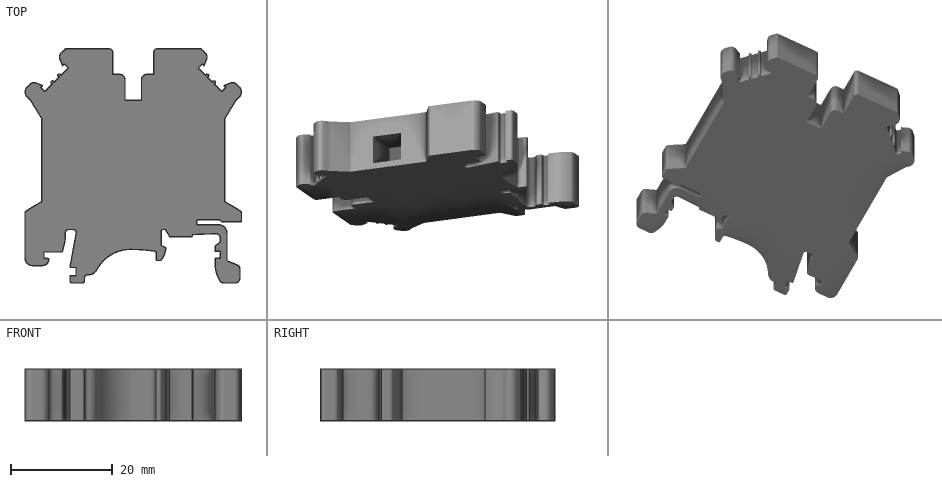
import math

import cadquery as cq

THICKNESS = 10.2
HALF_WIDTH = 21.25
HEIGHT = 46.0
WALL_X = 18.0
WALL_BOTTOM_Y = 16.0
WALL_TOP_Y = 32.3
SHOULDER_Y = 14.05
FLARE_RADIUS = 0.6

SLOT_HALF_WIDTH = 1.6
SLOT_BOTTOM_Y = 35.9
MOUTH_HALF_WIDTH = 4.0
MOUTH_BOTTOM_Y = 41.0
MOUTH_RADIUS = 0.7
LEDGE_RADIUS = 1.1

RAMP_MID_X = 15.07
RAMP_MID_Y = 39.94
RAMP_HALF_LENGTH = 3.25
LIP_DEPTH = 1.06
LIP_OVERHANG = 0.5
KNOB_ALONG = 3.56
KNOB_OUT = 3.03
KNOB_RADIUS = 1.1
ELBOW_ROOT = (20.2, 35.9)
BUMP_RADIUS = 0.3
BUMP_SPACING = 1.9
BUMP_OUT = 0.2

EDGE_RADIUS = 0.25
TIP_RADIUS = 0.1
POCKET_TOP_Y = 10.5
HOOK_LEDGE_Y = 4.9

FOOT_BOTTOM_Y = 3.4
FOOT_OUTER_RADIUS = 1.5
FOOT_INNER_RADIUS = 1.4
HOOK_TIP_X = -16.5
HOOK_ROOT_X = -17.5
HOOK_ROOF_Y = 6.1
HOOK_TIP_SLOPE = 0.15
HOOK_TIP_LENGTH = 0.5
HOOK_UNDERCUT = 0.2
RELIEF_LEFT_X = -13.3
RELIEF_RIGHT_X = -11.1
RELIEF_BEND_Y = 8.4
RELIEF_BEND_RADIUS = 7.5
RELIEF_RADIUS = 0.6
RELIEF_FLARE = 0.6

LEG_LEFT_X = -12.45
LEG_RIGHT_X = -9.55
LEG_NOTCH_X = -11.25
LEG_NOTCH_TOP_Y = 3.05
LEG_NOTCH_BOTTOM_Y = 1.45
LEG_SHOULDER_Y = 1.6
LEG_RADIUS = 0.45
LEG_FILLET = 0.55

ARCH_TOP_Y = 6.6
ARCH_CREST_X = -0.55
ARCH_RADIUS = 7.4
SPRINGING_RADIUS = 1.9
ARCH_ANGLE = math.radians(58)
CROWN_RADIUS = 32.0
CROWN_ANGLE = math.radians(7.5)
NIB_LEFT_X = 4.5
NIB_BOTTOM_Y = 4.4
NIB_TOE_X = 5.4
NIB_BEND = (6.1, 5.35)
NIB_BEND_RADIUS = 3.0
NIB_RADIUS = 0.4
NIB_TIP_X = 6.5
NIB_TIP_Y = 6.95
NIB_ROOT_X = 5.5
NIB_ROOT_Y = 7.4
NIB_SLOT_RIGHT_X = 6.3

ARM_TOP_Y = 11.5
ARM_OUTER_X = 18.4
ARM_INNER_X = 17.05
ARM_OUTER_RADIUS = 1.7
ARM_INNER_RADIUS = 0.8
ARM_ROOF_Y = 9.7
PAD_Y = 9.05
PAD_LEFT_X = 7.15
PAD_RIGHT_X = 11.5
PAD_STEP = 0.23
CATCH_X = 16.05
CATCH_SLOPE_Y = 8.05
CATCH_TOP_Y = 7.3
CATCH_RADIUS = 0.45
CATCH_BOTTOM_Y = 6.25
FOOT_RIGHT_X = 20.95
FOOT_TOP_Y = 3.35
FOOT_TOP_RADIUS = 0.8
FOOT_NECK_Y = 4.4
FOOT_TOE_X = 17.2
FOOT_CORNER_RADIUS = 1.0
FOOT_SWEEP_Y = 2.3
FOOT_SWEEP_RADIUS = 6.0

GAP_LEFT_X = 12.5
GAP_TOP_Y = 12.4
GAP_STEP_X = 16.95
GAP_LIP_Y = 12.0

ENTRY_WIDTH = 6.0
ENTRY_HEIGHT = 5.45
ENTRY_MID_Y = 24.4
ENTRY_BOTTOM_Z = 1.15
ENTRY_DEPTH = 8.0


def ramp_point(along, out):
    """Point on the +X label recess: along the ramp (up, inward) and outward from it."""
    diagonal = math.sqrt(0.5)
    return (RAMP_MID_X + (out - along) * diagonal, RAMP_MID_Y + (out + along) * diagonal)


def label_knob(end):
    """Corners of one knob from the ramp to its nose; end is +1 (upper) or -1 (lower)."""
    lip_end = end * RAMP_HALF_LENGTH
    return [
        (*ramp_point(lip_end, 0), 0),
        (*ramp_point(lip_end, LIP_DEPTH), 0),
        (*ramp_point(lip_end - end * LIP_OVERHANG, LIP_DEPTH), 0),
        (*ramp_point(end * KNOB_ALONG, KNOB_OUT), KNOB_RADIUS),
    ]


def upper_side():
    """Corners of the +X upper side, from the slot bottom out to the foot of the wall."""
    nose_x, nose_y = ramp_point(KNOB_ALONG, KNOB_OUT)
    nose_sum = nose_x + nose_y
    elbow_x = (nose_sum + ELBOW_ROOT[0] - ELBOW_ROOT[1]) / 2
    elbow_radius = (elbow_x - HALF_WIDTH) / (math.sqrt(2) - 1)
    return [
        (SLOT_HALF_WIDTH, SLOT_BOTTOM_Y, 0),
        (SLOT_HALF_WIDTH, MOUTH_BOTTOM_Y, LEDGE_RADIUS),
        (MOUTH_HALF_WIDTH, MOUTH_BOTTOM_Y, 0),
        (MOUTH_HALF_WIDTH, HEIGHT, MOUTH_RADIUS),
        (nose_sum - HEIGHT, HEIGHT, 0),
        *reversed(label_knob(1)),
        *label_knob(-1),
        (elbow_x, nose_sum - elbow_x, elbow_radius),
        (*ELBOW_ROOT, 0),
        (WALL_X, WALL_TOP_Y, 0),
        (WALL_X, WALL_BOTTOM_Y, 0),
        (HALF_WIDTH, SHOULDER_Y, FLARE_RADIUS),
    ]


def left_foot():
    """Corners of the hooked left foot and the relief slot beside it."""
    return [
        (-HALF_WIDTH, FOOT_BOTTOM_Y, FOOT_OUTER_RADIUS),
        (HOOK_TIP_X - HOOK_UNDERCUT, FOOT_BOTTOM_Y, FOOT_INNER_RADIUS),
        (HOOK_TIP_X, HOOK_LEDGE_Y - HOOK_TIP_SLOPE, 0),
        (HOOK_TIP_X - HOOK_TIP_LENGTH, HOOK_LEDGE_Y, 0),
        (HOOK_ROOT_X, HOOK_LEDGE_Y, 0),
        (HOOK_ROOT_X, HOOK_ROOF_Y, 0),
        (RELIEF_LEFT_X - RELIEF_FLARE, HOOK_ROOF_Y, EDGE_RADIUS),
        (RELIEF_LEFT_X, RELIEF_BEND_Y, RELIEF_BEND_RADIUS),
        (RELIEF_LEFT_X, POCKET_TOP_Y, RELIEF_RADIUS),
        (RELIEF_RIGHT_X, POCKET_TOP_Y, RELIEF_RADIUS),
    ]


def notched_leg():
    """Corners of the leg between the relief slot and the arch."""
    return [
        (LEG_LEFT_X, LEG_NOTCH_TOP_Y, EDGE_RADIUS),
        (LEG_NOTCH_X, LEG_NOTCH_TOP_Y, 0),
        (LEG_NOTCH_X, LEG_NOTCH_BOTTOM_Y, 0),
        (LEG_LEFT_X, LEG_NOTCH_BOTTOM_Y, 0),
        (LEG_LEFT_X, 0, LEG_RADIUS),
        (LEG_RIGHT_X, 0, LEG_RADIUS),
        (LEG_RIGHT_X, LEG_SHOULDER_Y, LEG_FILLET),
    ]


def arch_and_nib():
    """Corners of the arch, its flatter crown and the hanging nib."""
    haunch_x = ARCH_CREST_X - ARCH_RADIUS * math.tan(ARCH_ANGLE / 2)
    springing_x = haunch_x - (ARCH_TOP_Y - LEG_SHOULDER_Y) / math.tan(ARCH_ANGLE)
    crown_x = ARCH_CREST_X + CROWN_RADIUS * math.tan(CROWN_ANGLE / 2)
    crown_end_y = ARCH_TOP_Y - (NIB_LEFT_X - crown_x) * math.tan(CROWN_ANGLE)
    return [
        (springing_x, LEG_SHOULDER_Y, SPRINGING_RADIUS),
        (haunch_x, ARCH_TOP_Y, ARCH_RADIUS),
        (crown_x, ARCH_TOP_Y, CROWN_RADIUS),
        (NIB_LEFT_X, crown_end_y, NIB_RADIUS),
        (NIB_LEFT_X, NIB_BOTTOM_Y, EDGE_RADIUS),
        (NIB_TOE_X, NIB_BOTTOM_Y, NIB_RADIUS),
        (*NIB_BEND, NIB_BEND_RADIUS),
        (NIB_TIP_X, NIB_TIP_Y, NIB_RADIUS),
        (NIB_ROOT_X, NIB_ROOT_Y, 0),
        (NIB_ROOT_X, POCKET_TOP_Y, EDGE_RADIUS),
        (NIB_SLOT_RIGHT_X, POCKET_TOP_Y, EDGE_RADIUS),
    ]


def spring_foot():
    """Corners of the rail pad, the spring arm, the right foot and the slot above the arm."""
    return [
        (PAD_LEFT_X, PAD_Y, 0),
        (PAD_RIGHT_X, PAD_Y, 0),
        (PAD_RIGHT_X + PAD_STEP, PAD_Y + 2 * PAD_STEP, 0),
        (ARM_INNER_X, ARM_ROOF_Y, ARM_INNER_RADIUS),
        (ARM_INNER_X, CATCH_SLOPE_Y, CATCH_RADIUS),
        (CATCH_X, CATCH_TOP_Y, CATCH_RADIUS),
        (CATCH_X, CATCH_BOTTOM_Y, 0),
        (ARM_INNER_X, CATCH_BOTTOM_Y, EDGE_RADIUS),
        (ARM_INNER_X, HOOK_LEDGE_Y, 0),
        (CATCH_X, HOOK_LEDGE_Y, TIP_RADIUS),
        (CATCH_X, FOOT_SWEEP_Y, FOOT_SWEEP_RADIUS),
        (FOOT_TOE_X, 0, FOOT_CORNER_RADIUS),
        (FOOT_RIGHT_X, 0, FOOT_CORNER_RADIUS),
        (FOOT_RIGHT_X, FOOT_TOP_Y, FOOT_TOP_RADIUS),
        (ARM_OUTER_X, FOOT_NECK_Y, 0),
        (ARM_OUTER_X, ARM_TOP_Y, ARM_OUTER_RADIUS),
        (GAP_LEFT_X, ARM_TOP_Y, TIP_RADIUS),
        (GAP_LEFT_X, GAP_TOP_Y, EDGE_RADIUS),
        (GAP_STEP_X, GAP_TOP_Y, 0),
        (GAP_STEP_X + GAP_TOP_Y - GAP_LIP_Y, GAP_LIP_Y, 0),
        (HALF_WIDTH, GAP_LIP_Y, EDGE_RADIUS),
    ]


def rounded_outline(corners):
    """Closed wire through (x, y, radius) corners, each rounded by a tangent arc."""
    edges = []
    ends = []
    for index, (x, y, radius) in enumerate(corners):
        corner = cq.Vector(x, y)
        before = corners[index - 1]
        after = corners[(index + 1) % len(corners)]
        if radius == 0:
            ends.append((corner, corner))
            continue
        back = (cq.Vector(before[0], before[1]) - corner).normalized()
        ahead = (cq.Vector(after[0], after[1]) - corner).normalized()
        half_angle = back.getAngle(ahead) / 2
        setback = radius / math.tan(half_angle)
        to_middle = radius / math.sin(half_angle) - radius
        start = corner + back * setback
        middle = corner + (back + ahead).normalized() * to_middle
        end = corner + ahead * setback
        edges.append(cq.Edge.makeThreePointArc(start, middle, end))
        ends.append((start, end))
    for index, (start, _) in enumerate(ends):
        edges.append(cq.Edge.makeLine(ends[index - 1][1], start))
    return cq.Wire.combine(edges)[0]


def housing():
    """The full outline extruded to the thickness of the part."""
    right_side = upper_side()
    left_side = [(-x, y, radius) for x, y, radius in right_side]
    corners = left_side + left_foot() + notched_leg() + arch_and_nib() + spring_foot()
    corners += reversed(right_side)
    face = cq.Face.makeFromWires(rounded_outline(corners))
    return cq.Workplane("XY").add(cq.Solid.extrudeLinear(face, cq.Vector(0, 0, THICKNESS)))


def label_bumps():
    """Two small round ribs on each label ramp."""
    centres = []
    for along in (-BUMP_SPACING / 2, BUMP_SPACING / 2):
        x, y = ramp_point(along, BUMP_OUT)
        centres += [(x, y), (-x, y)]
    return cq.Workplane("XY").pushPoints(centres).circle(BUMP_RADIUS).extrude(THICKNESS)


def wire_entry():
    """Rectangular blind pocket cut in from the -X wall."""
    return (
        cq.Workplane("XY")
        .box(ENTRY_DEPTH, ENTRY_WIDTH, ENTRY_HEIGHT, centered=(False, True, False))
        .translate((-WALL_X, ENTRY_MID_Y, ENTRY_BOTTOM_Z))
    )


result = housing().union(label_bumps()).cut(wire_entry())